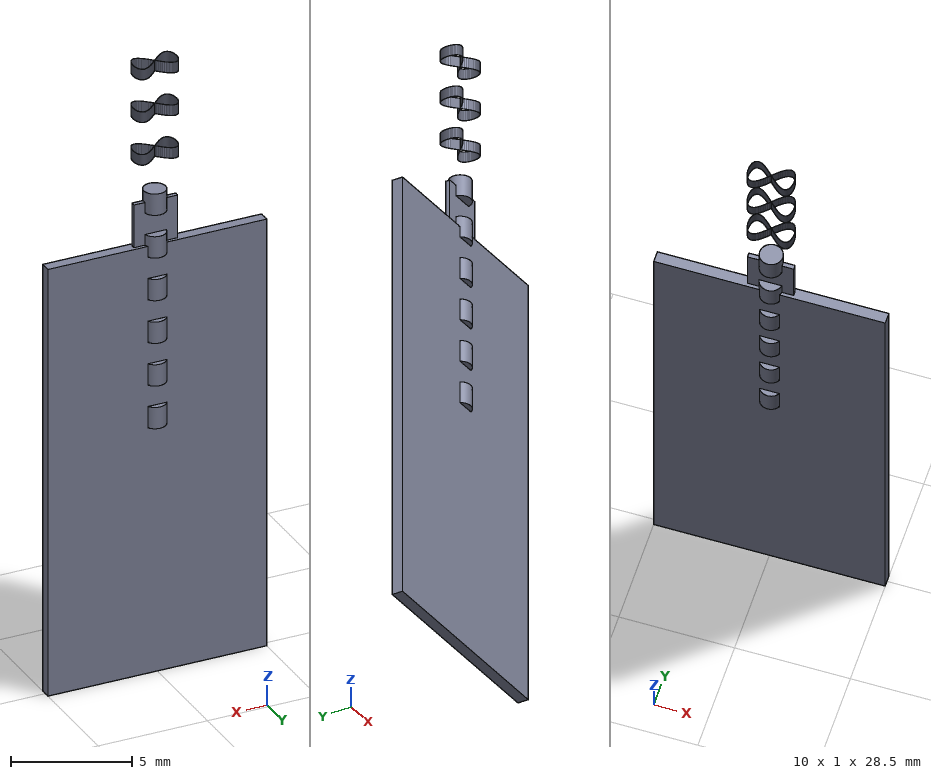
import cadquery as cq
import math

overall_height = 28.5
pitches_in_height = 14.25
pitch = overall_height / pitches_in_height

plate_width = 5 * pitch
plate_height = 2 * plate_width
plate_thickness = pitch / 4
tab_width = pitch
tab_height = pitch
tab_thickness = pitch / 10

pin_diameter = pitch / 2
pin_height = pitch / 2
pin_count = 6
top_pin_center = plate_height + tab_height

loop_length = pitch
loop_width = loop_length / 2
loop_height = pitch / 4
loop_wall = 0.01
loop_count = 3
facets_per_half = 50


def make_plate():
    """Plate with its tab and the row of pins that stand proud of both faces."""
    bottom_centered = (True, True, False)
    plate = cq.Workplane("XY").box(plate_width, plate_thickness, plate_height, centered=bottom_centered)
    tab = (
        cq.Workplane("XY", origin=(0, 0, plate_height))
        .box(tab_width, tab_thickness, tab_height, centered=bottom_centered)
    )
    plate = plate.union(tab)
    for index in range(pin_count):
        pin_bottom = top_pin_center - index * pitch - pin_height / 2
        pin = (
            cq.Workplane("XY", origin=(0, 0, pin_bottom))
            .circle(pin_diameter / 2)
            .extrude(pin_height)
        )
        plate = plate.union(pin)
    return plate


def figure_eight_point(angle, offset):
    """Point on the curve x = a cos(t), y = b sin(2t), moved sideways by offset."""
    a = (loop_length - loop_wall) / 2
    b = (loop_width - loop_wall) / 2
    slope_x = -a * math.sin(angle)
    slope_y = 2 * b * math.cos(2 * angle)
    speed = math.hypot(slope_x, slope_y)
    x = a * math.cos(angle) + offset * slope_y / speed
    y = b * math.sin(2 * angle) - offset * slope_x / speed
    return (x, y)


def make_half_loop(start_angle, bottom):
    """S-shaped strip that runs from one end of the figure eight to the other."""
    angles = [start_angle + math.pi * step / facets_per_half for step in range(facets_per_half + 1)]
    one_side = [figure_eight_point(angle, loop_wall / 2) for angle in angles]
    other_side = [figure_eight_point(angle, -loop_wall / 2) for angle in reversed(angles)]
    return (
        cq.Workplane("XY", origin=(0, 0, bottom))
        .polyline(one_side + other_side)
        .close()
        .extrude(loop_height)
    )


def make_loop(bottom):
    """Two strips that cross in the middle and join at both ends."""
    return make_half_loop(0, bottom).union(make_half_loop(math.pi, bottom))


plate = make_plate()

top_loop_bottom = overall_height - loop_height
loops = []
for index in range(loop_count):
    loops.append(make_loop(top_loop_bottom - index * pitch))

result = cq.Compound.makeCompound([plate.val(), *[loop.val() for loop in loops]])